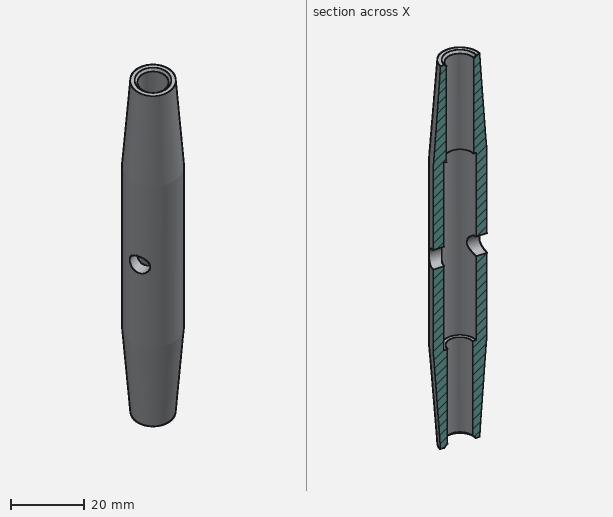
import cadquery as cq

length = 125.0
body_diameter = 17.0
end_diameter = 12.5
taper_length = 32.0

upper_bore_diameter = 8.5
lower_bore_diameter = 7.9
cavity_diameter = 10.0

countersink_diameter = 10.0

cross_hole_diameter = 6.2

half_length = length / 2
body_half_length = half_length - taper_length
body_radius = body_diameter / 2
end_radius = end_diameter / 2
upper_bore_radius = upper_bore_diameter / 2
lower_bore_radius = lower_bore_diameter / 2
cavity_radius = cavity_diameter / 2
countersink_radius = countersink_diameter / 2
upper_countersink_depth = countersink_radius - upper_bore_radius
lower_countersink_depth = countersink_radius - lower_bore_radius


def revolve_about_z(outline):
    """Turn a closed (radius, z) outline into a solid of revolution around Z."""
    return cq.Workplane("XZ").polyline(outline).close().revolve(360, (0, 0, 0), (0, 1, 0))


def outer_body():
    """Solid cylinder with a long taper at each end."""
    return revolve_about_z([
        (0, -half_length),
        (end_radius, -half_length),
        (body_radius, -body_half_length),
        (body_radius, body_half_length),
        (end_radius, half_length),
        (0, half_length),
    ])


def stepped_bore():
    """Through bore: lower countersink and bore, cavity, upper bore and countersink."""
    return revolve_about_z([
        (0, -half_length),
        (countersink_radius, -half_length),
        (lower_bore_radius, -half_length + lower_countersink_depth),
        (lower_bore_radius, -body_half_length),
        (cavity_radius, -body_half_length),
        (cavity_radius, body_half_length),
        (upper_bore_radius, body_half_length),
        (upper_bore_radius, half_length - upper_countersink_depth),
        (countersink_radius, half_length),
        (0, half_length),
    ])


def cross_hole():
    """Cylinder along Y that passes through both walls."""
    return cq.Workplane("XZ").circle(cross_hole_diameter / 2).extrude(body_diameter, both=True)


result = outer_body().cut(stepped_bore()).cut(cross_hole())